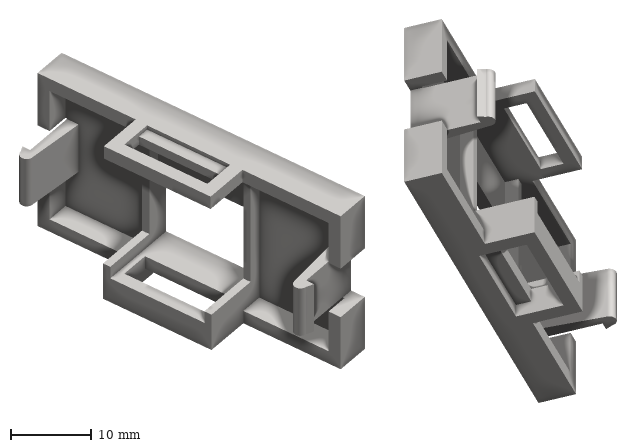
import cadquery as cq

length = 47.15
height = 24.5
total_depth = 11.6

tray_depth = 5.0
side_wall = 1.9
end_wall = 2.0
floor_thickness = 1.7

window_half_width = 7.3
window_bottom = 3.8
window_top = 15.3
rib_front = 3.5

lower_half_width = 8.45
lower_height = 5.65
upper_half_width = 8.3
upper_thickness = 2.0
slot_half_width = 6.45
slot_front = 9.8
upper_slot_back = 5.1
lower_slot_back = 5.5
ledge_front = 6.8
ledge_drop = 0.65
lower_ledge_thickness = 2.0

notch_bottom = 8.35
notch_height = 7.8
clip_height = 7.6
clip_outer = 21.45
clip_root_inner = 19.65
clip_tip_inner = 20.35
hook_outer = 22.67
hook_back = 9.35
hook_bend_x = 22.2
hook_bend_depth = 10.35


def block(x_min, x_max, depth_back, depth_front, z_min, z_max):
    """Box whose Y extent is given by depths measured forward from the back."""
    size = (x_max - x_min, depth_front - depth_back, z_max - z_min)
    return cq.Workplane("XY").box(*size, centered=False).translate((x_min, -depth_front, z_min))


def centered_block(half_width, depth_back, depth_front, z_min, z_max):
    return block(-half_width, half_width, depth_back, depth_front, z_min, z_max)


def make_tray():
    outer = centered_block(length / 2, 0, tray_depth, 0, height)
    inner_half_length = length / 2 - side_wall
    cavity = centered_block(inner_half_length, floor_thickness, tray_depth, end_wall, height - end_wall)
    return outer.cut(cavity)


def make_right_clip():
    """Tapered arm with an outward hook and a rounded tip."""
    profile = (
        cq.Workplane("XY")
        .moveTo(clip_outer, -hook_back)
        .lineTo(clip_outer, 0)
        .lineTo(clip_root_inner, 0)
        .lineTo(clip_root_inner, -floor_thickness)
        .lineTo(clip_tip_inner, -hook_bend_depth)
        .tangentArcPoint((hook_bend_x, -hook_bend_depth), relative=False)
        .lineTo(hook_outer, -hook_back)
        .close()
    )
    clip_bottom = notch_bottom + (notch_height - clip_height) / 2
    return profile.extrude(clip_height).translate((0, 0, clip_bottom))


body = make_tray()

body = body.union(centered_block(lower_half_width, 0, rib_front, 0, height - end_wall))
body = body.union(centered_block(lower_half_width, 0, total_depth, 0, lower_height))
body = body.union(centered_block(upper_half_width, 0, total_depth, height - upper_thickness, height))

body = body.cut(
    centered_block(window_half_width, floor_thickness, total_depth, window_bottom, height - end_wall)
)
body = body.cut(centered_block(window_half_width, 0, total_depth, window_bottom, window_top))

body = body.cut(centered_block(slot_half_width, lower_slot_back, slot_front, 0, window_bottom))
lower_ledge_bottom = window_bottom - lower_ledge_thickness
body = body.cut(centered_block(slot_half_width, rib_front, slot_front, 0, lower_ledge_bottom))
body = body.cut(
    centered_block(slot_half_width, ledge_front, slot_front, height - upper_thickness, height)
)
body = body.cut(
    centered_block(slot_half_width, upper_slot_back, ledge_front, height - ledge_drop, height)
)

notch = block(clip_outer, length / 2, 0, tray_depth, notch_bottom, notch_bottom + notch_height)
right_clip = make_right_clip()
body = body.cut(notch).cut(notch.mirror("YZ"))
result = body.union(right_clip).union(right_clip.mirror("YZ"))